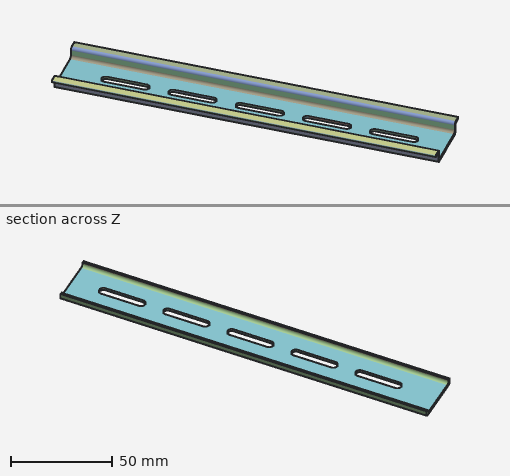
import cadquery as cq

length = 200.0
rail_width = 35.0
height = 7.3

floor_thickness = 1.5
wall_thickness = 1.5
lip_tip_thickness = 1.0
lip_root_thickness = 1.4
opening_width = 24.0
outer_bend_radius = 1.5
floor_bend_radius = 1.5
lip_bend_radius = 0.8
lip_edge_radius = 0.2

slot_count = 5
slot_length = 25.0
slot_width = 4.5
slot_pitch = 35.0
first_slot_start = 20.0


def round_corner(body, corner, radius):
    """Fillet the lengthwise edge that passes through the section point `corner`."""
    y, z = corner
    nearest = cq.selectors.NearestToPointSelector((length / 2, y, z))
    return body.edges("|X").edges(nearest).fillet(radius)


def make_rail():
    half_rail = rail_width / 2
    wall_inside = opening_width / 2
    wall_outside = wall_inside + wall_thickness
    tip_underside = height - lip_tip_thickness
    root_underside = height - lip_root_thickness

    outline = [
        (0, 0),
        (wall_outside, 0),
        (wall_outside, root_underside),
        (half_rail, tip_underside),
        (half_rail, height),
        (wall_inside, height),
        (wall_inside, floor_thickness),
        (0, floor_thickness),
    ]
    half = cq.Workplane("YZ").polyline(outline).close().extrude(length)

    half = round_corner(half, (wall_outside, 0), outer_bend_radius)
    half = round_corner(half, (wall_inside, floor_thickness), floor_bend_radius)
    half = round_corner(half, (wall_inside, height), outer_bend_radius)
    half = round_corner(half, (wall_outside, root_underside), lip_bend_radius)
    half = round_corner(half, (half_rail, height), lip_edge_radius)
    half = round_corner(half, (half_rail, tip_underside), lip_edge_radius)
    return half.union(half.mirror("XZ"))


def make_slots():
    first_center = first_slot_start + slot_length / 2
    centers = [(first_center + i * slot_pitch, 0) for i in range(slot_count)]
    slots = cq.Workplane("XY").pushPoints(centers).slot2D(slot_length, slot_width)
    return slots.extrude(floor_thickness)


result = make_rail().cut(make_slots())